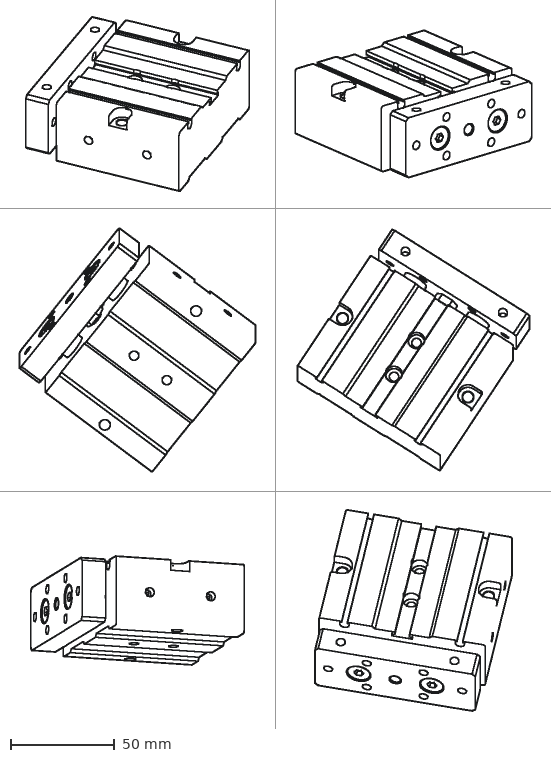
import cadquery as cq
import math


HOUSING_LENGTH = 65.0
HOUSING_WIDTH = 82.0
HOUSING_HEIGHT = 34.0
CORNER_RADIUS = 1.5
TOP_Z = HOUSING_HEIGHT / 2
SIDE_Y = HOUSING_WIDTH / 2

PLATE_THICKNESS = 12.0
PLATE_WIDTH = 79.0
PLATE_HEIGHT = 31.0
PLATE_CHAMFER = 1.6
PLATE_GAP = 5.0
HOUSING_FRONT = PLATE_THICKNESS + PLATE_GAP
HOUSING_MIDDLE = HOUSING_FRONT + HOUSING_LENGTH / 2

GUIDE_ROD_DIAMETER = 12.0
GUIDE_ROD_Y = 18.0
GUIDE_ROD_INSERTION = 60.0
PISTON_ROD_DIAMETER = 6.0
PISTON_ROD_INSERTION = 15.0
ROD_END_RECESS = 0.5
SOCKET_FLATS = 4.0
SOCKET_DEPTH = 2.5
NUT_FLATS = 10.0
NUT_THICKNESS = 4.0
HEX_SIDES = 6

PLATE_HOLE_DIAMETER = 4.2
PLATE_OUTER_HOLE_Y = 33.0
PLATE_INNER_HOLE_Y = 14.0
PLATE_INNER_HOLE_Z = 10.0
PLATE_TOP_HOLE_Y = 28.0
PLATE_TOP_HOLE_DEPTH = 10.0

CONE_SHARE = 0.999

CHANNEL_DEPTH = 1.6
TOP_CHANNEL_HALF_WIDTH = 14.9
BOTTOM_PAD_HALF_WIDTH = 8.6
BOTTOM_CHANNEL_OUTER_Y = 30.0

T_SLOT_MOUTH = 7.2
T_SLOT_WIDTH = 10.0
T_SLOT_LIP = 2.0
T_SLOT_HEIGHT = 1.5

SENSOR_SLOT_Y = 28.4
SENSOR_SLOT_MOUTH = 2.8
SENSOR_SLOT_WIDTH = 4.5
SENSOR_SLOT_LIP = 0.9
SENSOR_SLOT_DEPTH = 4.6

MOUNT_HOLE_Y = 36.0
MOUNT_POCKET_WIDTH = 9.6
MOUNT_POCKET_DEPTH = 5.5
MOUNT_HOLE_DIAMETER = 5.2
MOUNT_MOUTH_DIAMETER = 5.7
CENTER_HOLE_SPACING = 20.0
CENTER_HOLE_OFFSET = 22.5
CENTER_HOLE_DIAMETER = 4.5
CENTER_BORE_DIAMETER = 8.0
CENTER_BORE_DEPTH = 10.0
PORT_OFFSETS = (17.0, 48.0)
PORT_DIAMETER = 4.3
PORT_DEPTH = 5.0
PORT_PASSAGE_DIAMETER = 2.0
PORT_PASSAGE_DEPTH = 15.0


def x_cylinder(diameter, start, length, y=0, z=0):
    """Cylinder along +X from X = start."""
    return cq.Workplane("YZ", origin=(start, y, z)).circle(diameter / 2).extrude(length)


def z_cylinder(diameter, x, y, top, depth):
    """Cylinder going down from Z = top."""
    return cq.Workplane("XY", origin=(x, y, top)).circle(diameter / 2).extrude(-depth)


def housing_prism(points):
    """Closed Y-Z outline run along the whole housing."""
    return cq.Workplane("YZ", origin=(HOUSING_FRONT, 0, 0)).polyline(points).close().extrude(HOUSING_LENGTH)


def housing_bar(y, width, top, height):
    """Rectangular bar along the whole housing, hanging from Z = top."""
    center = (HOUSING_MIDDLE, y, top - height)
    return cq.Workplane("XY", origin=center).rect(HOUSING_LENGTH, width).extrude(height)


def channel(edge_low, edge_high, side):
    """Flat-floored channel in the top (side = 1) or bottom (side = -1) face."""
    face = side * TOP_Z
    floor = face - side * CHANNEL_DEPTH
    return housing_prism([
        (edge_low, face),
        (edge_low + CHANNEL_DEPTH, floor),
        (edge_high - CHANNEL_DEPTH, floor),
        (edge_high, face),
    ])


def sensor_slot(y):
    """Slot with a narrow mouth over a wider round-bottomed groove."""
    radius = SENSOR_SLOT_WIDTH / 2
    shoulder = TOP_Z - SENSOR_SLOT_LIP
    spring = TOP_Z - SENSOR_SLOT_DEPTH + radius
    groove = (
        cq.Workplane("YZ", origin=(HOUSING_FRONT, y, 0))
        .moveTo(-radius, shoulder)
        .lineTo(-radius, spring)
        .threePointArc((0, spring - radius), (radius, spring))
        .lineTo(radius, shoulder)
        .close()
        .extrude(HOUSING_LENGTH)
    )
    return groove.union(housing_bar(y, SENSOR_SLOT_MOUTH, TOP_Z, SENSOR_SLOT_LIP))


def mounting_hole(side):
    """Through hole in a round-ended pocket open to the side face."""
    y = side * MOUNT_HOLE_Y
    pocket_floor = TOP_Z - MOUNT_POCKET_DEPTH
    pocket = z_cylinder(MOUNT_POCKET_WIDTH, HOUSING_MIDDLE, y, TOP_Z, MOUNT_POCKET_DEPTH)
    run_out = (
        cq.Workplane("XY", origin=(HOUSING_MIDDLE, side * (MOUNT_HOLE_Y + SIDE_Y) / 2, pocket_floor))
        .rect(MOUNT_POCKET_WIDTH, SIDE_Y - MOUNT_HOLE_Y)
        .extrude(MOUNT_POCKET_DEPTH)
    )
    hole = z_cylinder(MOUNT_HOLE_DIAMETER, HOUSING_MIDDLE, y, TOP_Z, HOUSING_HEIGHT)
    mouth_chamfer = (MOUNT_MOUTH_DIAMETER - MOUNT_HOLE_DIAMETER) / 2
    mouth = z_cylinder(MOUNT_MOUTH_DIAMETER, HOUSING_MIDDLE, y, pocket_floor, mouth_chamfer)
    mouth = mouth.faces("<Z").chamfer(mouth_chamfer * CONE_SHARE)
    return pocket.union(run_out).union(hole).union(mouth)


def center_hole(x):
    """Counterbored through hole on the centre line."""
    bore = z_cylinder(CENTER_BORE_DIAMETER, x, 0, TOP_Z, CENTER_BORE_DEPTH)
    return bore.union(z_cylinder(CENTER_HOLE_DIAMETER, x, 0, TOP_Z, HOUSING_HEIGHT))


def port(x):
    """Stepped port going in from the -Y face."""
    face = cq.Workplane("XZ", origin=(x, -SIDE_Y, 0))
    passage = face.circle(PORT_PASSAGE_DIAMETER / 2).extrude(-PORT_PASSAGE_DEPTH)
    return face.circle(PORT_DIAMETER / 2).extrude(-PORT_DEPTH).union(passage)


def make_housing():
    body = (
        cq.Workplane("XY")
        .box(HOUSING_LENGTH, HOUSING_WIDTH, HOUSING_HEIGHT)
        .edges("|X")
        .fillet(CORNER_RADIUS)
        .translate((HOUSING_MIDDLE, 0, 0))
    )
    body = body.cut(channel(-TOP_CHANNEL_HALF_WIDTH, TOP_CHANNEL_HALF_WIDTH, 1))
    body = body.cut(channel(BOTTOM_PAD_HALF_WIDTH, BOTTOM_CHANNEL_OUTER_Y, -1))
    body = body.cut(channel(-BOTTOM_CHANNEL_OUTER_Y, -BOTTOM_PAD_HALF_WIDTH, -1))

    channel_floor = TOP_Z - CHANNEL_DEPTH
    body = body.cut(housing_bar(0, T_SLOT_MOUTH, channel_floor, T_SLOT_LIP))
    body = body.cut(housing_bar(0, T_SLOT_WIDTH, channel_floor - T_SLOT_LIP, T_SLOT_HEIGHT))

    for side in (-1, 1):
        body = body.cut(sensor_slot(side * SENSOR_SLOT_Y))
        body = body.cut(mounting_hole(side))
        guide_y = side * GUIDE_ROD_Y
        body = body.cut(x_cylinder(GUIDE_ROD_DIAMETER, HOUSING_FRONT, GUIDE_ROD_INSERTION, guide_y))
    body = body.cut(x_cylinder(PISTON_ROD_DIAMETER, HOUSING_FRONT, PISTON_ROD_INSERTION))

    for step in (0, CENTER_HOLE_SPACING):
        body = body.cut(center_hole(HOUSING_FRONT + CENTER_HOLE_OFFSET + step))
    for offset in PORT_OFFSETS:
        body = body.cut(port(HOUSING_FRONT + offset))
    return body


def rod(diameter, insertion, y=0):
    """Rod from the plate's inner face into the housing."""
    return x_cylinder(diameter, PLATE_THICKNESS, PLATE_GAP + insertion, y)


def rod_end_recess(diameter, y=0):
    """Shallow conical recess in the plate's outer face, over a rod end."""
    return x_cylinder(diameter, 0, ROD_END_RECESS, y).faces(">X").chamfer(ROD_END_RECESS * CONE_SHARE)


def hexagon(flats, start, length, y=0):
    """Hexagonal prism along X with corners pointing to +Y and -Y."""
    corners = flats / math.cos(math.pi / HEX_SIDES)
    return cq.Workplane("YZ", origin=(start, y, 0)).polygon(HEX_SIDES, corners).extrude(length)


def make_carriage():
    body = (
        cq.Workplane("XY")
        .box(PLATE_THICKNESS, PLATE_WIDTH, PLATE_HEIGHT)
        .edges("|X")
        .chamfer(PLATE_CHAMFER)
        .translate((PLATE_THICKNESS / 2, 0, 0))
    )
    tapped_holes = [(side * PLATE_OUTER_HOLE_Y, 0) for side in (-1, 1)]
    for side in (-1, 1):
        for level in (-1, 1):
            tapped_holes.append((side * PLATE_INNER_HOLE_Y, level * PLATE_INNER_HOLE_Z))
    for y, z in tapped_holes:
        body = body.cut(x_cylinder(PLATE_HOLE_DIAMETER, 0, PLATE_THICKNESS, y, z))

    for side in (-1, 1):
        top_hole = z_cylinder(PLATE_HOLE_DIAMETER, PLATE_THICKNESS / 2, side * PLATE_TOP_HOLE_Y,
                              PLATE_HEIGHT / 2, PLATE_TOP_HOLE_DEPTH)
        body = body.cut(top_hole)
        guide_y = side * GUIDE_ROD_Y
        body = body.cut(rod_end_recess(GUIDE_ROD_DIAMETER, guide_y))
        body = body.union(rod(GUIDE_ROD_DIAMETER, GUIDE_ROD_INSERTION, guide_y))
        body = body.cut(hexagon(SOCKET_FLATS, ROD_END_RECESS, SOCKET_DEPTH, guide_y))

    body = body.cut(rod_end_recess(PISTON_ROD_DIAMETER))
    body = body.union(rod(PISTON_ROD_DIAMETER, PISTON_ROD_INSERTION))
    return body.union(hexagon(NUT_FLATS, PLATE_THICKNESS, NUT_THICKNESS))


housing = make_housing()
carriage = make_carriage()

result = cq.Compound.makeCompound([housing.val(), carriage.val()])